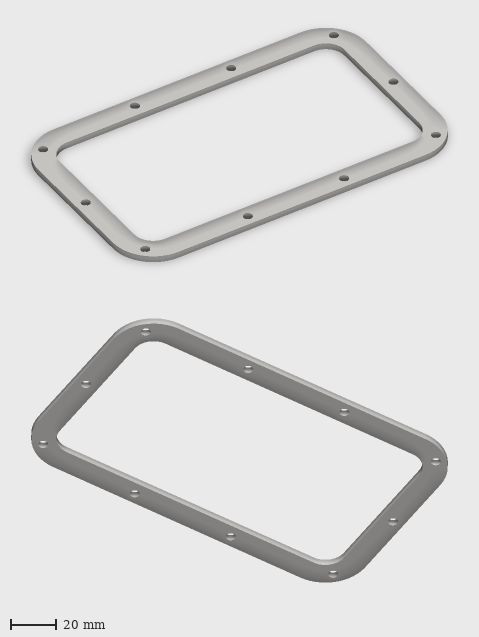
import cadquery as cq

width = 103.0
length = 170.4
thickness = 3.2
corner_radius = 20.8

border = 11.0
window_radius = corner_radius - border

hole_diameter = 4.5
edge_inset = 5.1
side_hole_y = 25.0
corner_hole_x = 42.0
corner_hole_y = 75.7


def rounded_plate(size_x, size_y, radius):
    """Plate of the frame's thickness with rounded vertical corners."""
    return cq.Workplane("XY").box(size_x, size_y, thickness).edges("|Z").fillet(radius)


def hole_centers():
    """Two end holes, four side holes and four corner holes."""
    centers = []
    for sy in (-1, 1):
        centers.append((0, sy * (length / 2 - edge_inset)))
        for sx in (-1, 1):
            centers.append((sx * (width / 2 - edge_inset), sy * side_hole_y))
            centers.append((sx * corner_hole_x, sy * corner_hole_y))
    return centers


frame = rounded_plate(width, length, corner_radius)
window = rounded_plate(width - 2 * border, length - 2 * border, window_radius)

result = (
    frame.cut(window)
    .faces(">Z")
    .workplane(origin=(0, 0, 0))
    .pushPoints(hole_centers())
    .hole(hole_diameter)
)